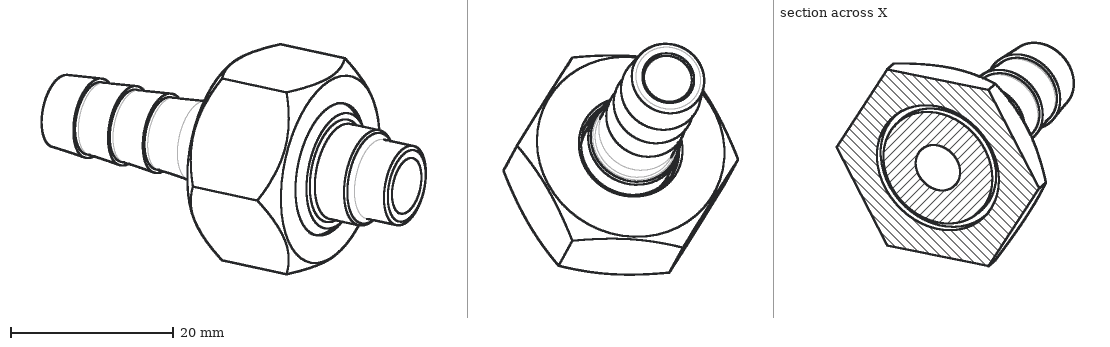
import cadquery as cq
import math


total_length = 50.0
nut_start = 25.5
nut_length = 13.5
nut_wall = 3.0
nut_end = nut_start + nut_length
flange_start = nut_start + nut_wall
flange_length = 2.0
joint_x = flange_start + flange_length

stem_bore_radius = 6.0 / 2
bore_chamfer = 0.25
barb_count = 4
barb_pitch = 5.0
barb_tip_radius = 10.0 / 2
barb_root_radius = 4.55
barb_root_length = 0.45
stem_end_chamfer_length = 0.15
stem_end_chamfer_depth = 0.5
neck_end = 22.85
neck_fillet = 0.25
collar_radius = 11.5 / 2
collar_chamfer_length = 0.4
collar_chamfer_depth = 0.25
flange_radius = 14.95 / 2

across_flats = 24.0
nut_face_radius = 11.75
nut_hole_radius = 12.3 / 2
nut_hole_chamfer = 0.35

adapter_bore_radius = 7.0 / 2
thread_radius = 16.6 / 2
thread_tip_radius = 14.5 / 2
thread_chamfer_length = 1.3
thread_end = 39.95
shoulder_radius = 12.0 / 2
shoulder_end = 44.9
shoulder_chamfer = 0.3
root_chamfer = 0.45
spigot_radius = 10.0 / 2
spigot_fillet = 0.6
spigot_chamfer_length = 0.25
spigot_chamfer_depth = 0.5


def revolve_about_x(profile):
    """Turn a closed (x, radius) profile about the X axis."""
    return profile.close().revolve(360, (0, 0, 0), (1, 0, 0))


def quarter_arc_point(center_x, center_radius, arc_radius, angle):
    """Point on an arc in the (x, radius) plane at an angle in degrees."""
    turn = math.radians(angle)
    return (center_x + arc_radius * math.cos(turn), center_radius + arc_radius * math.sin(turn))


def make_stem():
    profile = (
        cq.Workplane("XY")
        .moveTo(0, stem_bore_radius + bore_chamfer)
        .lineTo(0, barb_root_radius - stem_end_chamfer_depth)
        .lineTo(stem_end_chamfer_length, barb_root_radius)
    )
    for barb in range(1, barb_count + 1):
        tip_x = barb * barb_pitch
        profile = profile.lineTo(tip_x, barb_tip_radius)
        if barb < barb_count:
            profile = profile.lineTo(tip_x, barb_root_radius)
            profile = profile.lineTo(tip_x + barb_root_length, barb_root_radius)

    fillet_x = neck_end - neck_fillet
    fillet_radius_height = barb_tip_radius + neck_fillet
    profile = (
        profile.lineTo(fillet_x, barb_tip_radius)
        .threePointArc(
            quarter_arc_point(fillet_x, fillet_radius_height, neck_fillet, -45),
            (neck_end, fillet_radius_height),
        )
        .lineTo(neck_end, collar_radius - collar_chamfer_depth)
        .lineTo(neck_end + collar_chamfer_length, collar_radius)
        .lineTo(flange_start, collar_radius)
        .lineTo(flange_start, flange_radius)
        .lineTo(joint_x, flange_radius)
        .lineTo(joint_x, stem_bore_radius)
        .lineTo(bore_chamfer, stem_bore_radius)
    )
    return revolve_about_x(profile)


def make_nut():
    corner_radius = across_flats / math.sqrt(3)
    corner_chamfer = corner_radius - nut_face_radius
    hexagon = (
        cq.Workplane("YZ", origin=(nut_start, 0, 0))
        .polygon(6, 2 * corner_radius)
        .extrude(nut_length)
    )
    envelope = revolve_about_x(
        cq.Workplane("XY")
        .moveTo(nut_start, 0)
        .lineTo(nut_start, nut_face_radius)
        .lineTo(nut_start + corner_chamfer, corner_radius)
        .lineTo(nut_end - corner_chamfer, corner_radius)
        .lineTo(nut_end, nut_face_radius)
        .lineTo(nut_end, 0)
    )
    cavity = revolve_about_x(
        cq.Workplane("XY")
        .moveTo(nut_start, 0)
        .lineTo(nut_start, nut_hole_radius + nut_hole_chamfer)
        .lineTo(nut_start + nut_hole_chamfer, nut_hole_radius)
        .lineTo(flange_start, nut_hole_radius)
        .lineTo(flange_start, thread_radius)
        .lineTo(nut_end, thread_radius)
        .lineTo(nut_end, 0)
    )
    return hexagon.intersect(envelope).cut(cavity)


def make_adapter():
    fillet_x = shoulder_end + spigot_fillet
    fillet_radius_height = spigot_radius + spigot_fillet
    profile = (
        cq.Workplane("XY")
        .moveTo(joint_x, adapter_bore_radius)
        .lineTo(joint_x, thread_radius)
        .lineTo(thread_end - thread_chamfer_length, thread_radius)
        .lineTo(thread_end, thread_tip_radius)
        .lineTo(thread_end, shoulder_radius + root_chamfer)
        .lineTo(thread_end + root_chamfer, shoulder_radius)
        .lineTo(shoulder_end - shoulder_chamfer, shoulder_radius)
        .lineTo(shoulder_end, shoulder_radius - shoulder_chamfer)
        .lineTo(shoulder_end, fillet_radius_height)
        .threePointArc(
            quarter_arc_point(fillet_x, fillet_radius_height, spigot_fillet, 225),
            (fillet_x, spigot_radius),
        )
        .lineTo(total_length - spigot_chamfer_length, spigot_radius)
        .lineTo(total_length, spigot_radius - spigot_chamfer_depth)
        .lineTo(total_length, adapter_bore_radius)
    )
    return revolve_about_x(profile)


stem = make_stem()
nut = make_nut()
adapter = make_adapter()

result = cq.Compound.makeCompound([stem.val(), nut.val(), adapter.val()])